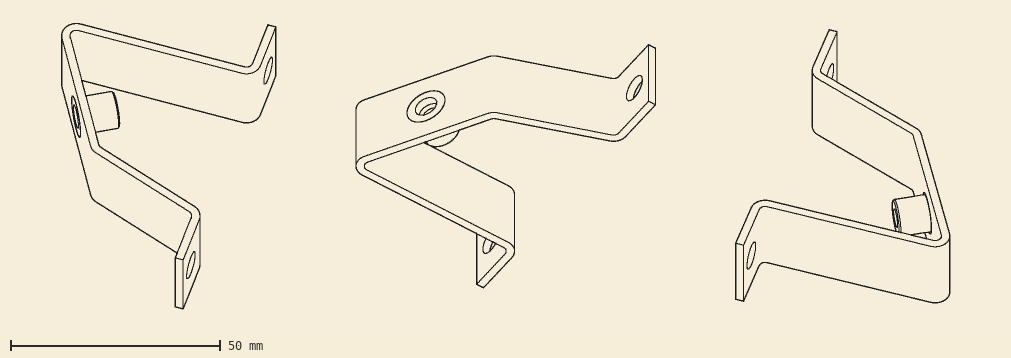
import cadquery as cq
import math

total_length = 72.0
depth = 48.0
width = 20.0
thickness = 2.0
outer_radius = 3.5
inner_radius = outer_radius - thickness
arm_face_y = 22.5
lower_bend_y = -23.5
steep_angle = 60.0
shallow_angle = 20.0

hole_diameter = 6.6
hole_edge_distance = 6.0

bushing_y = 3.2
head_diameter = 10.0
head_rise = 0.1
barrel_diameter = 9.0
barrel_length = 7.7
barrel_chamfer = 0.35
entry_diameter = 5.6
entry_depth = 2.15
bore_diameter = 4.5
bore_cone_depth = 0.9


def direction(angle):
    """Unit vector in the XY plane."""
    return cq.Vector(math.cos(math.radians(angle)), math.sin(math.radians(angle)))


def line_crossing(point_a, along_a, point_b, along_b):
    """Crossing point of two lines in the XY plane."""
    gap = point_b - point_a
    return point_a + along_a * (gap.cross(along_b).z / along_a.cross(along_b).z)


steep_along = direction(-steep_angle)
steep_outward = direction(-steep_angle - 90)
shallow_along = direction(-shallow_angle)
shallow_outward = direction(-shallow_angle - 90)

nose_center = cq.Vector(-depth + outer_radius, arm_face_y - outer_radius)
lower_bend_center = cq.Vector(-outer_radius, lower_bend_y)
steep_point = nose_center + steep_outward * outer_radius
shallow_point = lower_bend_center - shallow_outward * inner_radius
knee = line_crossing(steep_point, steep_along, shallow_point, shallow_along)
nose = line_crossing(steep_point, steep_along, cq.Vector(0, arm_face_y), cq.Vector(1, 0))
lower_corner = line_crossing(
    shallow_point, shallow_along, cq.Vector(-thickness, 0), cq.Vector(0, 1)
)


def make_strip():
    """Bent strip of constant thickness with equal inner radii at all four bends."""
    half_length = total_length / 2
    corners = [
        cq.Vector(-thickness, half_length),
        cq.Vector(-thickness, arm_face_y),
        nose,
        knee,
        lower_corner,
        cq.Vector(-thickness, -half_length),
    ]
    walls = [(b - a).normalized() for a, b in zip(corners, corners[1:])]
    offsets = [cq.Vector(-along.y, along.x) * thickness for along in walls]
    inner = [corners[0] + offsets[0]]
    for i in range(1, len(walls)):
        inner.append(
            line_crossing(corners[i] + offsets[i - 1], walls[i - 1], corners[i] + offsets[i], walls[i])
        )
    inner.append(corners[-1] + offsets[-1])

    outline = [point.toTuple()[:2] for point in corners + inner[::-1]]
    strip = cq.Workplane("XY").polyline(outline).close().extrude(width / 2, both=True)

    convex_points = [inner[1], nose, knee, inner[4]]
    concave_points = [corners[1], inner[2], inner[3], lower_corner]
    for points, radius in ((convex_points, outer_radius), (concave_points, inner_radius)):
        for point in points:
            edge = cq.selectors.NearestToPointSelector((point.x, point.y, 0))
            strip = strip.edges("|Z").edges(edge).fillet(radius)
    return strip


def make_mounting_holes():
    """Cutters for the hole in each end flange."""
    hole_y = total_length / 2 - hole_edge_distance
    return (
        cq.Workplane("YZ")
        .pushPoints([(hole_y, 0), (-hole_y, 0)])
        .circle(hole_diameter / 2)
        .extrude(-thickness)
    )


def bushing_plane():
    """Plane on the outer face of the steep wall, with its normal pointing through the wall."""
    travel = (bushing_y - steep_point.y) / steep_along.y
    origin = steep_point + steep_along * travel
    return cq.Plane(origin=origin, xDir=steep_along, normal=-steep_outward)


def make_head():
    """Round head that fills the wall thickness and rises above the outer face."""
    return (
        cq.Workplane(bushing_plane())
        .workplane(offset=-head_rise)
        .circle(head_diameter / 2)
        .extrude(head_rise + thickness)
    )


def make_bushing():
    """Headed bushing with a stepped through bore."""
    barrel = (
        cq.Workplane(bushing_plane())
        .workplane(offset=thickness)
        .circle(barrel_diameter / 2)
        .extrude(barrel_length)
        .faces(cq.selectors.DirectionMinMaxSelector(-steep_outward, True))
        .chamfer(barrel_chamfer)
    )
    bore_length = head_rise + thickness + barrel_length
    bore_profile = [
        (0, 0),
        (entry_diameter / 2, 0),
        (entry_diameter / 2, entry_depth),
        (bore_diameter / 2, entry_depth + bore_cone_depth),
        (bore_diameter / 2, bore_length),
        (0, bore_length),
    ]
    section = cq.Plane(
        origin=bushing_plane().origin + steep_outward * head_rise,
        xDir=steep_along,
        normal=steep_along.cross(-steep_outward),
    )
    bore = cq.Workplane(section).polyline(bore_profile).close().revolve(360, (0, 0), (0, 1))
    return make_head().union(barrel).cut(bore)


bracket = make_strip().cut(make_mounting_holes()).cut(make_head())
bushing = make_bushing()

result = cq.Compound.makeCompound([bracket.val(), bushing.val()])